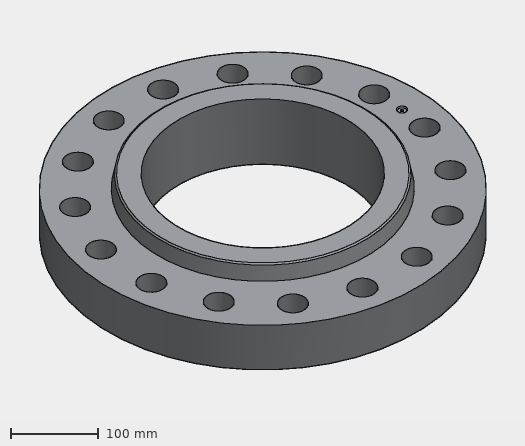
import math
import cadquery as cq

flange_diameter = 508.0
total_height = 94.0

face_height = 8.0
flange_thickness = 64.0
flange_top = face_height + flange_thickness

face_diameter = 356.0
hub_base_diameter = 344.5
hub_top_diameter = 336.5
hub_edge_height = 1.5
hub_rim_diameter = 332.0
bore_diameter = 276.5

bolt_count = 16
bolt_circle_diameter = 431.5
bolt_hole_diameter = 35.0

bolt_pitch_angle = 360 / bolt_count
recess_angle = 90 + bolt_pitch_angle / 2
recess_diameter = 12.5
recess_floor_diameter = 10.0
recess_depth = 1.5
pilot_diameter = 3.5
pilot_depth = 3.0


def on_bolt_circle(angle):
    """X and Y of the point on the bolt circle at an angle in degrees."""
    radius = bolt_circle_diameter / 2
    return (radius * math.cos(math.radians(angle)), radius * math.sin(math.radians(angle)))


def flange_body():
    """Raised face, disc and tapered hub, turned about Z around the bore."""
    half_section = (
        cq.Workplane("XZ")
        .moveTo(bore_diameter / 2, 0)
        .lineTo(face_diameter / 2, 0)
        .lineTo(face_diameter / 2, face_height)
        .lineTo(flange_diameter / 2, face_height)
        .lineTo(flange_diameter / 2, flange_top)
        .lineTo(hub_base_diameter / 2, flange_top)
        .lineTo(hub_top_diameter / 2, total_height - hub_edge_height)
        .lineTo(hub_rim_diameter / 2, total_height)
        .lineTo(bore_diameter / 2, total_height)
        .close()
    )
    return half_section.revolve(360, (0, 0, 0), (0, 1, 0))


def bolt_holes():
    """Evenly spaced cylinders that pierce the disc."""
    centers = [on_bolt_circle(i * bolt_pitch_angle) for i in range(bolt_count)]
    return cq.Workplane("XY").pushPoints(centers).circle(bolt_hole_diameter / 2).extrude(total_height)


def pilot_recess():
    """Shallow tapered recess in the flange top, with a small pilot hole in its floor."""
    x, y = on_bolt_circle(recess_angle)
    top = cq.Workplane("XY", origin=(x, y, flange_top))
    recess = (
        top.circle(recess_diameter / 2)
        .workplane(offset=-recess_depth)
        .circle(recess_floor_diameter / 2)
        .loft()
    )
    pilot = top.circle(pilot_diameter / 2).extrude(-pilot_depth)
    return recess.union(pilot)


result = flange_body().cut(bolt_holes()).cut(pilot_recess())